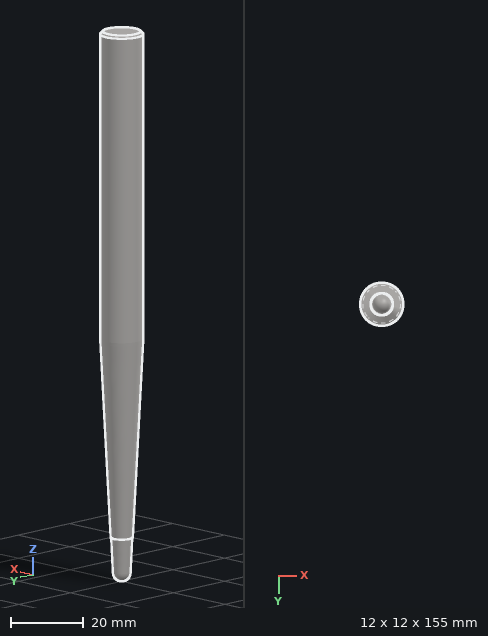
import cadquery as cq
import math

total_length = 155.0
shank_diameter = 12.0
shank_radius = shank_diameter / 2

shank_bottom_z = 68.4
end_chamfer_width = 0.8
end_chamfer_height = 0.8

bevel_height = 1.0
bevel_width = 0.05
neck_top_z = shank_bottom_z - bevel_height
neck_top_radius = shank_radius - bevel_width

tip_length = 12.4
neck_bottom_radius = 3.1
tip_top_radius = 3.0
ball_radius = 2.5


def revolve_about_z(half_profile):
    """Turn a closed radius-height profile into a solid of revolution."""
    return half_profile.close().revolve(360, (0, 0, 0), (0, 1, 0))


def make_holder():
    """Chamfered cylindrical shank running into a tapered neck."""
    profile = (
        cq.Workplane("XZ")
        .moveTo(0, tip_length)
        .lineTo(neck_bottom_radius, tip_length)
        .lineTo(neck_top_radius, neck_top_z)
        .lineTo(shank_radius, shank_bottom_z)
        .lineTo(shank_radius, total_length - end_chamfer_height)
        .lineTo(shank_radius - end_chamfer_width, total_length)
        .lineTo(0, total_length)
    )
    return revolve_about_z(profile)


def make_cutting_tip():
    """Slightly tapered tip ending in a hemispherical ball nose."""
    arc_offset = ball_radius * math.sqrt(0.5)
    profile = (
        cq.Workplane("XZ")
        .moveTo(0, 0)
        .threePointArc((arc_offset, ball_radius - arc_offset), (ball_radius, ball_radius))
        .lineTo(tip_top_radius, tip_length)
        .lineTo(0, tip_length)
    )
    return revolve_about_z(profile)


holder = make_holder()
cutting_tip = make_cutting_tip()

result = cq.Compound.makeCompound([holder.val(), cutting_tip.val()])